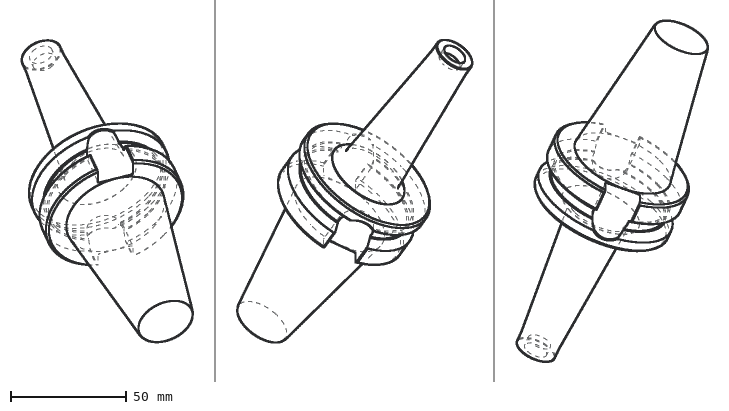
import cadquery as cq
import math


gauge_radius = 44.45 / 2
taper_slope = 7 / 48
taper_length = 65.4
taper_end_chamfer = 1.0
taper_end_setback = 0.4

flange_radius = 63 / 2
flange_length = 25.0
flange_gap = 2.0
flange_chamfer = 1.0

groove_offset = 10.3
groove_root_width = 4.6
groove_root_radius = 26.5
groove_step = 0.8
flank_angle = math.radians(30)
groove_edge_chamfer = 0.6

nose_length = 75.0
tip_radius = 18 / 2
tip_length = 5.25
tip_chamfer = 0.3
cone_blend = 0.25
neck_radius = 27.6 / 2
neck_length = 0.8
neck_fillet = 3.5
relief_depth = 0.15
relief_radius = 18.1

bore_radius = 10.5 / 2
bore_depth = 4.5

slot_width = 16.1
slot_floor = 22.6
slot_length = 21.5
slot_floor_fillet = 0.8
slot_edge_chamfer = 0.4

tolerance = 0.01

flange_rear = -flange_gap
flange_front = flange_rear - flange_length
tip_face = flange_front - nose_length
groove_middle = flange_front + groove_offset
relief_floor = flange_front + relief_depth


def make_body():
    """Revolve the outer outline about X, with a square rear rim and no groove."""
    fillet_start = relief_floor - neck_fillet
    fillet_bend = neck_fillet * math.sqrt(0.5)
    fillet_middle = (fillet_start + fillet_bend, neck_radius + neck_fillet - fillet_bend)
    cone_start = tip_face + tip_length
    cone_end = fillet_start - neck_length
    cone_angle = math.atan2(neck_radius - tip_radius, cone_end - cone_start)
    blend_end = (
        cone_start + cone_blend * math.cos(cone_angle),
        tip_radius + cone_blend * math.sin(cone_angle),
    )
    end_radius = gauge_radius - taper_slope * (taper_length - taper_end_chamfer)

    outline = (
        cq.Workplane("XY")
        .moveTo(tip_face, 0)
        .lineTo(tip_face, tip_radius - tip_chamfer)
        .lineTo(tip_face + tip_chamfer, tip_radius)
        .lineTo(cone_start - cone_blend, tip_radius)
        .tangentArcPoint(blend_end, relative=False)
        .lineTo(cone_end, neck_radius)
        .lineTo(fillet_start, neck_radius)
        .threePointArc(fillet_middle, (relief_floor, neck_radius + neck_fillet))
        .lineTo(relief_floor, relief_radius)
        .lineTo(flange_front, relief_radius)
        .lineTo(flange_front, flange_radius - flange_chamfer)
        .lineTo(flange_front + flange_chamfer, flange_radius)
        .lineTo(flange_rear, flange_radius)
        .lineTo(flange_rear, gauge_radius + taper_slope * flange_gap)
        .lineTo(taper_length - taper_end_chamfer, end_radius)
        .lineTo(taper_length, end_radius - taper_end_setback)
        .lineTo(taper_length, 0)
        .close()
    )
    return outline.revolve(360, (0, 0, 0), (1, 0, 0))


def make_groove():
    """Ring that cuts the V-shaped gripper groove with its broken edges."""
    root_half = groove_root_width / 2
    foot_radius = groove_root_radius + groove_step
    flank_top = flange_radius - groove_edge_chamfer
    top_half = root_half + (flank_top - foot_radius) * math.tan(flank_angle)
    edge_half = top_half + groove_edge_chamfer

    outline = (
        cq.Workplane("XY")
        .moveTo(groove_middle - edge_half, flange_radius)
        .lineTo(groove_middle - top_half, flank_top)
        .lineTo(groove_middle - root_half, foot_radius)
        .lineTo(groove_middle - root_half, groove_root_radius)
        .lineTo(groove_middle + root_half, groove_root_radius)
        .lineTo(groove_middle + root_half, foot_radius)
        .lineTo(groove_middle + top_half, flank_top)
        .lineTo(groove_middle + edge_half, flange_radius)
        .close()
    )
    return outline.revolve(360, (0, 0, 0), (1, 0, 0))


def make_rear_rim():
    """Ring that chamfers the rear rim of the flange."""
    outline = (
        cq.Workplane("XY")
        .moveTo(flange_rear - flange_chamfer, flange_radius)
        .lineTo(flange_rear, flange_radius - flange_chamfer)
        .lineTo(flange_rear, flange_radius)
        .close()
    )
    return outline.revolve(360, (0, 0, 0), (1, 0, 0))


def make_bore():
    """Blind bore in the tip."""
    return cq.Workplane("YZ", origin=(tip_face, 0, 0)).circle(bore_radius).extrude(bore_depth)


def make_slot(side):
    """Round-ended drive slot, open at the rear flange face; side is +1 (top) or -1 (bottom)."""
    half = slot_width / 2
    round_centre = flange_rear - slot_length + half
    return (
        cq.Workplane("XY", origin=(0, 0, side * slot_floor))
        .moveTo(flange_rear, -half)
        .lineTo(round_centre, -half)
        .threePointArc((round_centre - half, 0), (round_centre, half))
        .lineTo(flange_rear, half)
        .close()
        .extrude(side * (flange_radius - slot_floor))
        .faces("<Z" if side > 0 else ">Z")
        .edges("not(>X)")
        .fillet(slot_floor_fillet)
    )


def is_slot_rim(edge):
    """True for the edges where the slot walls meet the outside of the flange."""
    middle = edge.Center()
    near_rim = abs(middle.z) > (slot_floor + flange_radius) / 2
    in_slot = abs(middle.y) < slot_width / 2 + tolerance
    in_flange = flange_front + flange_chamfer + tolerance < middle.x < flange_rear - tolerance
    upright = edge.BoundingBox().xlen < tolerance
    return near_rim and in_slot and in_flange and not upright


result = make_body()
for side in (1, -1):
    result = result.cut(make_slot(side))
slot_rims = result.edges().filter(is_slot_rim).vals()
result = result.newObject(slot_rims).chamfer(slot_edge_chamfer)
result = result.cut(make_groove()).cut(make_rear_rim()).cut(make_bore())